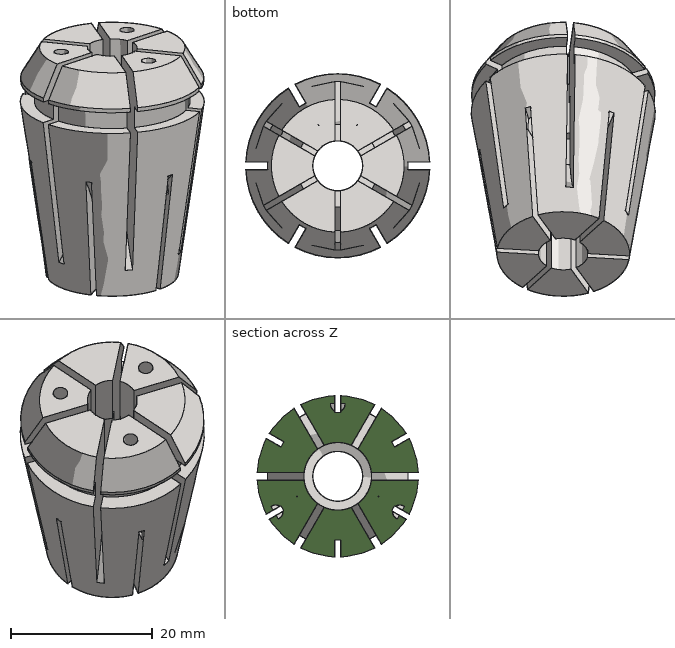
import cadquery as cq
import math

total_height = 34.0
body_diameter = 26.0
body_height = 25.87
body_taper_angle = 8.0

groove_diameter = 22.0
nose_bottom = 28.97
nose_rim_height = 0.58
nose_diameter = 25.87
nose_top_diameter = 20.55

bore_diameter = 7.0
relief_diameter = 9.52
relief_bottom = 9.28
relief_top = 25.0
relief_floor_angle = 10.0

slot_count = 6
slot_pitch = 360 / slot_count
top_slot_width = 1.05
top_slot_depth = 21.52
top_arc_radius = 23.12
top_arc_start_radius = relief_diameter / 2
top_arc_start_angle = 19.2
bottom_slot_width = 0.8
bottom_slot_depth = 6.97
bottom_arc_radius = 20.4
bottom_arc_start_radius = 5.8
bottom_arc_start_angle = 11.0
slot_overshoot = 0.35

hole_count = 3
hole_pitch = 360 / hole_count
hole_diameter = 2.0
hole_circle_radius = 7.4
hole_length = 19.55
hole_lean_angle = body_taper_angle
hole_overshoot = hole_diameter

body_radius = body_diameter / 2
bore_radius = bore_diameter / 2
relief_radius = relief_diameter / 2


def revolve_profile(points):
    """Turn a closed (radius, height) outline about the Z axis."""
    return cq.Workplane("XZ").polyline(points).close().revolve(360, (0, 0), (0, 1))


def turned_body():
    bottom_radius = body_radius - body_height * math.tan(math.radians(body_taper_angle))
    nose_rim_top = nose_bottom + nose_rim_height
    outline = [
        (0, 0),
        (bottom_radius, 0),
        (body_radius, body_height),
        (groove_diameter / 2, body_height),
        (groove_diameter / 2, nose_bottom),
        (nose_diameter / 2, nose_bottom),
        (nose_diameter / 2, nose_rim_top),
        (nose_top_diameter / 2, total_height),
        (0, total_height),
    ]
    return revolve_profile(outline)


def bore_and_relief():
    floor_drop = (relief_radius - bore_radius) * math.tan(math.radians(relief_floor_angle))
    outline = [
        (0, 0),
        (bore_radius, 0),
        (bore_radius, relief_bottom - floor_drop),
        (relief_radius, relief_bottom),
        (relief_radius, relief_top),
        (bore_radius, relief_top),
        (bore_radius, total_height),
        (0, total_height),
    ]
    return revolve_profile(outline)


def saw_slot(width, depth, arc_radius, start_radius, start_angle):
    """Radial slot along +X, open at Z = 0, that gets deeper outward along the saw's arc.

    The start angle is measured between the arc and the vertical where the arc begins.
    """
    center_x = start_radius + arc_radius * math.cos(math.radians(start_angle))
    center_z = depth - arc_radius * math.sin(math.radians(start_angle))

    def arc_point(x):
        return (x, center_z + math.sqrt(arc_radius**2 - (center_x - x) ** 2))

    outer_x = body_radius + slot_overshoot
    return (
        cq.Workplane("XZ")
        .lineTo(outer_x, 0)
        .lineTo(*arc_point(outer_x))
        .threePointArc(arc_point((start_radius + outer_x) / 2), (start_radius, depth))
        .lineTo(0, depth)
        .close()
        .extrude(width / 2, both=True)
    )


def blind_hole():
    """Flat-bottomed hole opening on the top face along +Y."""
    return (
        cq.Workplane("XY")
        .circle(hole_diameter / 2)
        .extrude(hole_length + hole_overshoot)
        .translate((0, 0, -hole_length))
        .rotate((0, 0, 0), (1, 0, 0), hole_lean_angle)
        .translate((0, hole_circle_radius, total_height))
    )


result = turned_body().cut(bore_and_relief())

bottom_slot = saw_slot(
    bottom_slot_width,
    bottom_slot_depth,
    bottom_arc_radius,
    bottom_arc_start_radius,
    bottom_arc_start_angle,
)
top_slot = saw_slot(
    top_slot_width,
    top_slot_depth,
    top_arc_radius,
    top_arc_start_radius,
    top_arc_start_angle,
)
top_slot = top_slot.mirror("XY").translate((0, 0, total_height))

for index in range(slot_count):
    angle = index * slot_pitch
    result = result.cut(top_slot.rotate((0, 0, 0), (0, 0, 1), angle))
    result = result.cut(bottom_slot.rotate((0, 0, 0), (0, 0, 1), angle + slot_pitch / 2))

first_hole = blind_hole()
for index in range(hole_count):
    result = result.cut(first_hole.rotate((0, 0, 0), (0, 0, 1), index * hole_pitch))